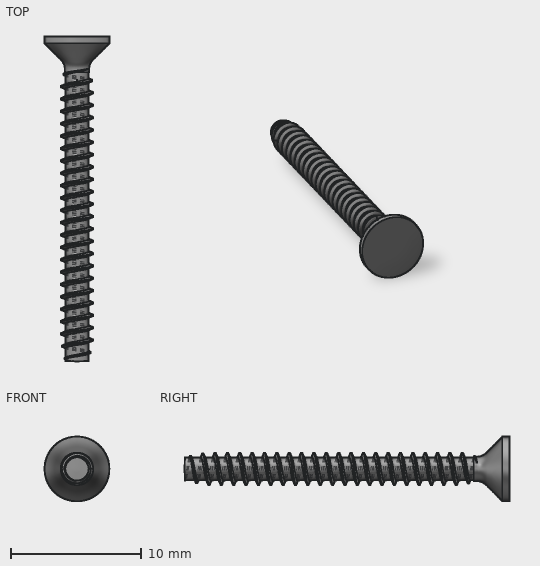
import cadquery as cq
import math

overall_length = 25.0

head_radius = 2.5
head_rim_height = 0.55
cone_angle = math.radians(45)
neck_radius = 0.95
neck_fillet_radius = 1.0
neck_fillet_end = 2.5
neck_end = 2.75

core_radius = 0.89
tip_cone_height = 0.04

thread_radius = 1.25
pitch = 0.95
root_width = 0.32
foot_reach = 0.34
foot_height = 0.04
foot_sink = 0.01
crest_width = 0.06
root_overlap = 0.15
runin_turns = 1.4
runout_turns = 1.85
runin_end = 3.635
runin_end_angle = 90.0
full_turns = 20.75

thread_height = thread_radius - core_radius


def make_body():
    """Head, neck and core as one revolved outline, built along +Z and measured from the head face."""
    fillet_center_radius = neck_radius + neck_fillet_radius
    fillet_start = neck_fillet_end - neck_fillet_radius * math.sin(cone_angle)
    fillet_start_radius = fillet_center_radius - neck_fillet_radius * math.cos(cone_angle)
    fillet_middle = neck_fillet_end - neck_fillet_radius * math.sin(cone_angle / 2)
    fillet_middle_radius = fillet_center_radius - neck_fillet_radius * math.cos(cone_angle / 2)
    return (
        cq.Workplane("XZ")
        .moveTo(0, 0)
        .lineTo(head_radius, 0)
        .lineTo(head_radius, head_rim_height)
        .lineTo(fillet_start_radius, fillet_start)
        .threePointArc((fillet_middle_radius, fillet_middle), (neck_radius, neck_fillet_end))
        .lineTo(neck_radius, neck_end)
        .lineTo(core_radius, neck_end)
        .lineTo(core_radius, overall_length - tip_cone_height)
        .lineTo(0, overall_length)
        .close()
        .revolve(360, (0, 0, 0), (0, 1, 0))
    )


def thread_profile(crest_radius, head_side):
    """Cross-section of the ridge in the XZ plane; head_side is the Z direction (+1 or -1) of its foot."""
    half_crest = crest_width / 2
    half_root = root_width / 2
    core_surface = crest_radius - thread_height
    root_radius = core_surface + foot_height
    foot_radius = core_surface - foot_sink
    buried_radius = core_surface - root_overlap
    return (
        cq.Workplane("XZ")
        .moveTo(buried_radius, head_side * foot_reach)
        .lineTo(foot_radius, head_side * foot_reach)
        .lineTo(root_radius, head_side * half_root)
        .lineTo(crest_radius, head_side * half_crest)
        .lineTo(crest_radius, -head_side * half_crest)
        .lineTo(root_radius, -head_side * half_root)
        .lineTo(buried_radius, -head_side * half_root)
        .close()
    )


def make_full_thread(turns):
    """Thread ridge of full height, starting at angle 0 and Z = 0 and climbing a right-hand helix."""
    path = cq.Wire.makeHelix(pitch, turns * pitch, thread_radius)
    return thread_profile(thread_radius, -1).sweep(cq.Workplane(path), isFrenet=True)


def make_rising_thread(turns, head_side):
    """Thread end that climbs a conical helix from inside the core and reaches full height at the top."""
    length = turns * pitch
    taper = math.atan2(thread_height, length)
    slant = 1 / math.cos(taper)
    path = cq.Wire.makeHelix(pitch * slant, length * slant, core_radius, angle=math.degrees(taper))
    return thread_profile(core_radius, head_side).sweep(cq.Workplane(path), isFrenet=True)


def make_thread():
    """Run-in, full thread and run-out joined end to end, built along +Z."""
    axis_start = (0, 0, 0)
    axis_end = (0, 0, 1)
    run_in = (
        make_rising_thread(runin_turns, -1)
        .rotate(axis_start, axis_end, -runin_turns * 360)
        .translate((0, 0, -runin_turns * pitch))
    )
    run_out = (
        make_rising_thread(runout_turns, 1)
        .rotate(axis_start, (1, 0, 0), 180)
        .rotate(axis_start, axis_end, (full_turns + runout_turns) * 360)
        .translate((0, 0, (full_turns + runout_turns) * pitch))
    )
    full = make_full_thread(full_turns)
    thread = [
        part.rotate(axis_start, axis_end, runin_end_angle).translate((0, 0, runin_end))
        for part in (run_in, full, run_out)
    ]
    shank_length = overall_length - tip_cone_height
    thread[-1] = thread[-1].intersect(cq.Workplane("XY").circle(head_radius).extrude(shank_length))
    return thread


screw = make_body()
for thread_part in make_thread():
    screw = screw.union(thread_part, clean=False)

result = screw.rotate((0, 0, 0), (1, 0, 0), 90)